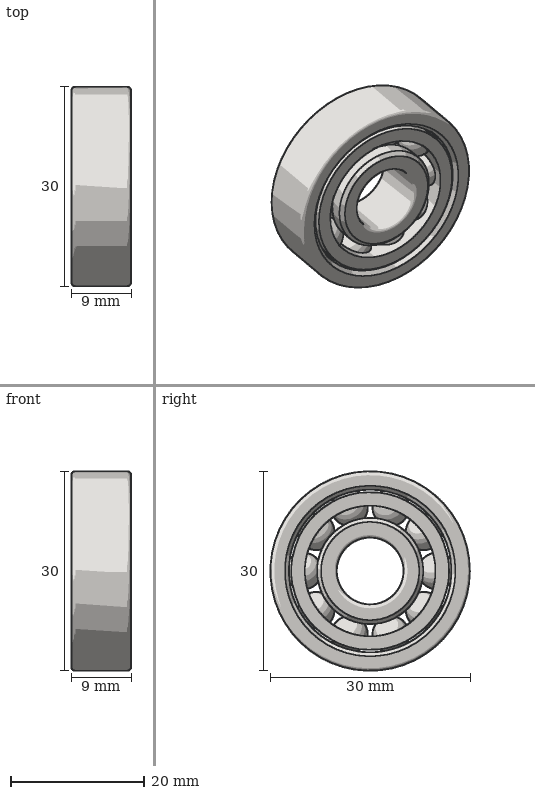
import cadquery as cq
import math


width = 9.0
outer_radius = 15.0
bore_radius = outer_radius / 3
edge_round = 0.6

outer_shoulder_radius = 12.2
inner_shoulder_radius = 7.98
shoulder_chamfer = 0.6

ball_count = 10
ball_radius = 2.75
pitch_radius = (outer_radius + bore_radius) / 2

cage_outer_radius = 11.85
cage_inner_radius = 9.8
cage_width = 8.5


def tube(inner_radius, tube_radius, length):
    """Hollow cylinder along X, centred on the origin."""
    return (
        cq.Workplane("YZ", origin=(-length / 2, 0, 0))
        .circle(tube_radius)
        .circle(inner_radius)
        .extrude(length)
    )


def raceway():
    """Torus swept by the balls around X; cuts the groove into a ring."""
    return cq.Workplane(cq.Solid.makeTorus(pitch_radius, ball_radius, dir=cq.Vector(1, 0, 0)))


def bore_edges(ring):
    """The smallest circles on both end faces of a ring."""
    return ring.faces("<X or >X").edges(cq.selectors.RadiusNthSelector(0))


def rim_edges(ring):
    """The largest circles on both end faces of a ring."""
    return ring.faces("<X or >X").edges(cq.selectors.RadiusNthSelector(-1))


def make_outer_ring():
    ring = tube(outer_shoulder_radius, outer_radius, width)
    ring = rim_edges(ring).fillet(edge_round)
    ring = bore_edges(ring).chamfer(shoulder_chamfer)
    return ring.cut(raceway())


def make_inner_ring():
    ring = tube(bore_radius, inner_shoulder_radius, width)
    ring = bore_edges(ring).fillet(edge_round)
    ring = rim_edges(ring).chamfer(shoulder_chamfer)
    return ring.cut(raceway())


def make_ball_cage():
    """Cage and the balls fixed in it, as one body."""
    cage = tube(cage_inner_radius, cage_outer_radius, cage_width)
    for index in range(ball_count):
        angle = index * 2 * math.pi / ball_count
        centre = (0, pitch_radius * math.cos(angle), pitch_radius * math.sin(angle))
        cage = cage.union(cq.Workplane("XY").sphere(ball_radius).translate(centre))
    return cage


outer_ring = make_outer_ring()
inner_ring = make_inner_ring()
ball_cage = make_ball_cage()

result = cq.Compound.makeCompound([outer_ring.val(), inner_ring.val(), ball_cage.val()])